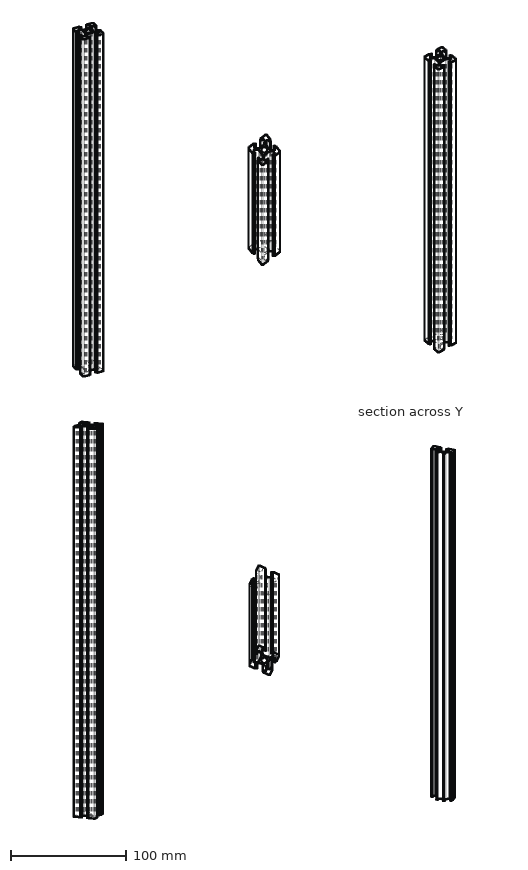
import cadquery as cq
import math

SIDE = 20.0
LENGTH = 350.0
BORE_DIAMETER = 5.0
CORNER_RADIUS = 0.85

MOUTH_WIDTH = 4.94
LIP_BEVEL_WIDTH = 7.8
LIP_BEVEL_DEPTH = 0.74
LIP_SLOPE_ANGLE = 8.0
LIP_THICKNESS = 1.94
LIP_UNDERSIDE_RISE = 0.16
CAVITY_WIDTH = 10.64
CAVITY_RADIUS = 0.38
CORE_WIDTH = 7.76
WEB_OFFSET = 1.1
FLOOR_RADIUS = 0.62

half_side = SIDE / 2
half_mouth = MOUTH_WIDTH / 2
half_cavity = CAVITY_WIDTH / 2
half_core = CORE_WIDTH / 2
half_bevel_outer = LIP_BEVEL_WIDTH / 2
half_bevel_inner = half_bevel_outer - LIP_BEVEL_DEPTH
bevel_bottom = half_side - LIP_BEVEL_DEPTH
lip_fall = (half_bevel_inner - half_mouth) * math.tan(math.radians(LIP_SLOPE_ANGLE))
lip_root = half_side - LIP_THICKNESS
half_floor = half_core - WEB_OFFSET

PICK_SIZE = 0.1


def round_edge_pair(body, x, y, radius):
    """Round the two lengthwise edges at (x, y) and (-x, y)."""
    for edge_x in (x, -x):
        low = (edge_x - PICK_SIZE, y - PICK_SIZE, -PICK_SIZE)
        high = (edge_x + PICK_SIZE, y + PICK_SIZE, LENGTH + PICK_SIZE)
        picker = cq.selectors.BoxSelector(low, high)
        body = body.edges("|Z").edges(picker).fillet(radius)
    return body


def slot_cutter():
    """T-slot open towards +Y, with rounded cavity and floor corners."""
    right_side = [
        (half_bevel_outer, half_side),
        (half_bevel_inner, bevel_bottom),
        (half_mouth, bevel_bottom - lip_fall),
        (half_mouth, lip_root + LIP_UNDERSIDE_RISE),
        (half_cavity, lip_root),
        (half_cavity, half_cavity + WEB_OFFSET),
        (half_floor, half_core),
    ]
    left_side = [(-x, y) for x, y in reversed(right_side)]
    cutter = cq.Workplane("XY").polyline(right_side + left_side).close().extrude(LENGTH)
    cutter = round_edge_pair(cutter, half_cavity, lip_root, CAVITY_RADIUS)
    return round_edge_pair(cutter, half_floor, half_core, FLOOR_RADIUS)


def bar_blank():
    """Square bar with rounded lengthwise corners."""
    return cq.Workplane("XY").rect(SIDE, SIDE).extrude(LENGTH).edges("|Z").fillet(CORNER_RADIUS)


def cut_slots(body):
    """Cut the same T-slot into each of the four sides."""
    cutter = slot_cutter()
    for quarter_turn in range(4):
        body = body.cut(cutter.rotate((0, 0, 0), (0, 0, 1), 90 * quarter_turn))
    return body


def cut_bore(body):
    """Bore through the whole length on the bar's axis."""
    bore = cq.Workplane("XY").circle(BORE_DIAMETER / 2).extrude(LENGTH)
    return body.cut(bore)


result = cut_bore(cut_slots(bar_blank()))